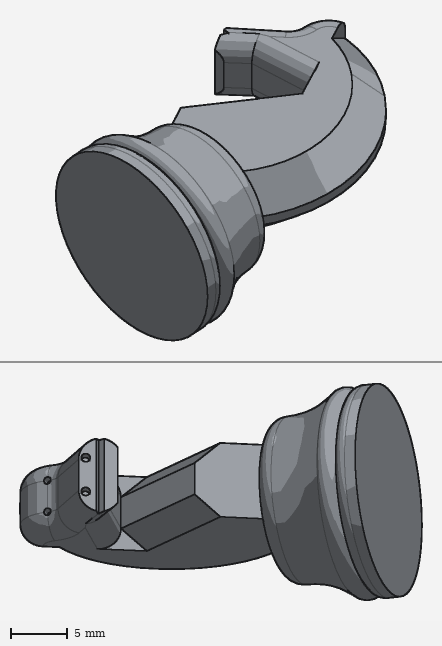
import cadquery as cq
import math

BASE_DIAMETER = 19.0
BASE_RADIUS = BASE_DIAMETER / 2
FOOT_HEIGHT = 1.0
GROOVE_RADIUS = 8.9
GROOVE_Y = 2.0
BEAD_Y = 2.92
BEAD_TOP_RADIUS = 9.13
BEAD_TOP_Y = 3.7
COLLAR_RADIUS = 7.5
BASE_HEIGHT = 10.0
COLLAR_ROUND = 1.5

THICKNESS = 7.0
EDGE_ROUND = 2.0
MANE_CHAMFER = 3.0
MARGIN = 6.5

CROWN = (-5.7, 32.5)
THROAT = (-1.85, 24.35)
BREAST = (-8.15, 15.4)
NECK_ROOT_Y = 8.45
BREAST_ROOT_X = -4.8
MANE_CENTER = (-6.85, 17.97)
MANE_RADIUS = 14.7
MANE_JOIN_ANGLE = 52.0

BROW_CENTER = (-4.5, 29.2)
BROW_RADIUS = 3.5
BRIDGE_RADIUS = 1.5
MUZZLE_SLOPE = 39.9
LIP_TOP = (-12.35, 24.8)
LIP_BOTTOM = (-11.15, 21.58)
MOUTH_TOP_Y = 23.37
MOUTH_CORNER = (-11.18, MOUTH_TOP_Y)
MOUTH_BOTTOM_Y = 22.72
CHIN = (-10.3, 21.87)
JAW_BEND = (-8.45, 23.53)

EYE_DIAMETER = 0.65
EYE_Z = THICKNESS / 2 - EDGE_ROUND
NOSTRIL_DIAMETER = 0.78
NOSTRIL_Y = 24.25
NOSTRIL_Z = 1.6
HOLE_DEPTH = 1.0
HOLE_CLEARANCE = 0.32


def polar(center, radius, degrees):
    angle = math.radians(degrees)
    return (center[0] + radius * math.cos(angle), center[1] + radius * math.sin(angle))


def beyond(start, end, distance):
    """Point on the line from start through end, a distance past end."""
    length = math.dist(start, end)
    return tuple(e + (e - s) * distance / length for s, e in zip(start, end))


def lip_point(y):
    """Point at height y on the flat front of the lips."""
    fraction = (LIP_TOP[1] - y) / (LIP_TOP[1] - LIP_BOTTOM[1])
    return (LIP_TOP[0] + fraction * (LIP_BOTTOM[0] - LIP_TOP[0]), y)


def plate(outline):
    return outline.close().extrude(THICKNESS / 2, both=True)


def rounded_plate(outline):
    return plate(outline).faces("|Z").edges().fillet(EDGE_ROUND)


def make_base():
    collar_y = BASE_HEIGHT - COLLAR_ROUND
    foot_mid = (
        GROOVE_RADIUS + (BASE_RADIUS - GROOVE_RADIUS) * math.sqrt(0.5),
        FOOT_HEIGHT + (GROOVE_Y - FOOT_HEIGHT) * math.sqrt(0.5),
    )
    profile = (
        cq.Workplane("XY")
        .lineTo(BASE_RADIUS, 0)
        .lineTo(BASE_RADIUS, FOOT_HEIGHT)
        .threePointArc(foot_mid, (GROOVE_RADIUS, GROOVE_Y))
        .threePointArc((BASE_RADIUS, BEAD_Y), (BEAD_TOP_RADIUS, BEAD_TOP_Y))
    )
    rise = collar_y - BEAD_TOP_Y
    run = BEAD_TOP_RADIUS - COLLAR_RADIUS
    flank_radius = (rise**2 + run**2) / (2 * run)
    flank_center = (COLLAR_RADIUS + flank_radius, collar_y)
    half_sweep = math.degrees(math.asin(rise / flank_radius)) / 2
    collar_center = (COLLAR_RADIUS - COLLAR_ROUND, collar_y)
    return (
        profile.threePointArc(
            polar(flank_center, flank_radius, 180 + half_sweep), (COLLAR_RADIUS, collar_y)
        )
        .threePointArc(
            polar(collar_center, COLLAR_ROUND, 45), (COLLAR_RADIUS - COLLAR_ROUND, BASE_HEIGHT)
        )
        .lineTo(0, BASE_HEIGHT)
        .close()
        .revolve(360, (0, 0, 0), (0, 1, 0))
    )


def make_neck():
    root_angle = math.degrees(math.asin((NECK_ROOT_Y - MANE_CENTER[1]) / MANE_RADIUS))
    mane_join = polar(MANE_CENTER, MANE_RADIUS, MANE_JOIN_ANGLE)
    back_middle = polar(MANE_CENTER, MANE_RADIUS, (MANE_JOIN_ANGLE + root_angle) / 2)
    neck = plate(
        cq.Workplane("XY")
        .moveTo(*polar(MANE_CENTER, MANE_RADIUS, root_angle))
        .threePointArc(back_middle, mane_join)
        .tangentArcPoint(CROWN, relative=False)
        .lineTo(*THROAT)
        .lineTo(*BREAST)
        .lineTo(BREAST_ROOT_X, NECK_ROOT_Y)
    )
    throat_middle = ((THROAT[0] + BREAST[0]) / 2, (THROAT[1] + BREAST[1]) / 2, 0)
    throat_face = neck.faces(cq.NearestToPointSelector(throat_middle))
    neck = throat_face.edges("#Z").chamfer(EDGE_ROUND)
    return neck.faces("|Z").edges("%CIRCLE").chamfer(MANE_CHAMFER)


def make_head():
    brow_front = polar(BROW_CENTER, BROW_RADIUS, 180)
    bridge_center = (brow_front[0] - BRIDGE_RADIUS, brow_front[1])
    bridge_middle = polar(bridge_center, BRIDGE_RADIUS, -(90 - MUZZLE_SLOPE) / 2)
    bridge_end = polar(bridge_center, BRIDGE_RADIUS, -(90 - MUZZLE_SLOPE))
    muzzle_end = polar(bridge_end, 2 * MARGIN, 180 + MUZZLE_SLOPE)
    right_x = THROAT[0] + MARGIN
    brow_top = polar(BROW_CENTER, BROW_RADIUS, 90)
    upper = rounded_plate(
        cq.Workplane("XY")
        .moveTo(right_x, brow_top[1])
        .lineTo(*brow_top)
        .threePointArc(polar(BROW_CENTER, BROW_RADIUS, 135), brow_front)
        .threePointArc(bridge_middle, bridge_end)
        .lineTo(*muzzle_end)
        .lineTo(muzzle_end[0], CHIN[1] - 2 * MARGIN)
        .lineTo(right_x, CHIN[1] - 2 * MARGIN)
    )
    chin_end = beyond(JAW_BEND, CHIN, MARGIN)
    jaw_end = beyond(JAW_BEND, THROAT, MARGIN)
    lower = rounded_plate(
        cq.Workplane("XY")
        .moveTo(*chin_end)
        .lineTo(*JAW_BEND)
        .lineTo(*jaw_end)
        .lineTo(jaw_end[0], CROWN[1] + MARGIN)
        .lineTo(chin_end[0], CROWN[1] + MARGIN)
    )
    trim = plate(
        cq.Workplane("XY").polyline(
            [
                beyond(THROAT, CROWN, EDGE_ROUND),
                beyond(LIP_BOTTOM, LIP_TOP, EDGE_ROUND),
                lip_point(MOUTH_TOP_Y),
                MOUTH_CORNER,
                lip_point(MOUTH_BOTTOM_Y),
                LIP_BOTTOM,
                CHIN,
                beyond(CROWN, THROAT, EDGE_ROUND),
            ]
        )
    )
    return upper.intersect(lower).intersect(trim)


def pair_of_holes(entry, spacing_z, diameter, direction):
    """Two blind holes at +-spacing_z, drilled from entry along a unit direction in XY."""
    start_x, start_y = (e - HOLE_CLEARANCE * d for e, d in zip(entry, direction))
    holes = cq.Workplane("XY")
    for z in (-spacing_z, spacing_z):
        hole = cq.Solid.makeCylinder(
            diameter / 2,
            HOLE_DEPTH + HOLE_CLEARANCE,
            cq.Vector(start_x, start_y, z),
            cq.Vector(*direction, 0),
        )
        holes = holes.add(hole)
    return holes.combine()


def make_eyes():
    return pair_of_holes(polar(BROW_CENTER, BROW_RADIUS, 180), EYE_Z, EYE_DIAMETER, (1, 0))


def make_nostrils():
    lip_length = math.dist(LIP_TOP, LIP_BOTTOM)
    inward = (
        (LIP_TOP[1] - LIP_BOTTOM[1]) / lip_length,
        (LIP_BOTTOM[0] - LIP_TOP[0]) / lip_length,
    )
    return pair_of_holes(lip_point(NOSTRIL_Y), NOSTRIL_Z, NOSTRIL_DIAMETER, inward)


horse = make_neck().union(make_head()).cut(make_eyes()).cut(make_nostrils())
result = make_base().union(horse)